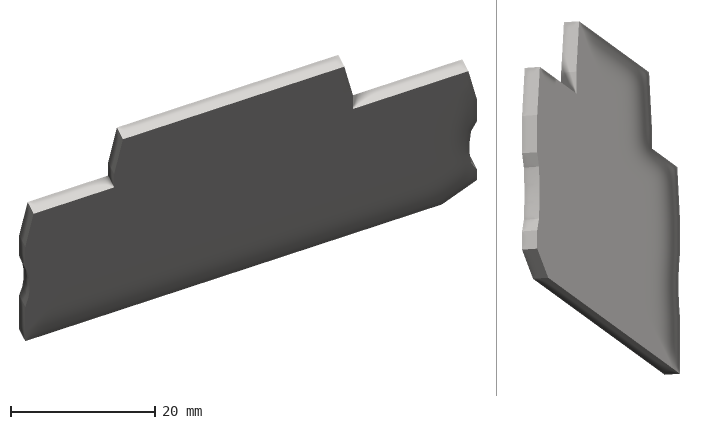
import cadquery as cq
import math

thickness = 2.2
length = 67.55
height = 39.65

taper_angle = math.radians(10)
shoulder_height = 29.1
shoulder_taper_start = 22.0
tab_taper_start = 32.2
shoulder_inset = (shoulder_height - shoulder_taper_start) * math.tan(taper_angle)
tab_inset = (height - tab_taper_start) * math.tan(taper_angle)

tab_front = 13.3
tab_width = 35.75
tab_back = tab_front + tab_width

front_groove_center = 12.55
front_groove_width = 9.1
front_groove_depth = 0.7
front_groove_bottom = front_groove_center - front_groove_width / 2
front_groove_top = front_groove_center + front_groove_width / 2

back_groove_center = 11.15
back_groove_width = 11.1
back_groove_floor_width = 7.4
back_groove_flank_depth = 0.85
back_groove_depth = 1.1
back_groove_bottom = back_groove_center - back_groove_width / 2
back_groove_top = back_groove_center + back_groove_width / 2
back_floor_bottom = back_groove_center - back_groove_floor_width / 2
back_floor_top = back_groove_center + back_groove_floor_width / 2
back_floor_y = length - back_groove_flank_depth

chamfer_length = 5.2
chamfer_angle = math.radians(30)
chamfer_height = chamfer_length * math.tan(chamfer_angle)


def draw_front_edge(outline):
    """Go up the front edge, from the lower corner to the foot of the tab."""
    return (
        outline.lineTo(0, front_groove_bottom)
        .threePointArc((front_groove_depth, front_groove_center), (0, front_groove_top))
        .lineTo(0, shoulder_taper_start)
        .lineTo(shoulder_inset, shoulder_height)
        .lineTo(tab_front, shoulder_height)
    )


def draw_tab(outline):
    """Go over the tapered tab, from its front foot to its back foot."""
    return (
        outline.lineTo(tab_front, tab_taper_start)
        .lineTo(tab_front + tab_inset, height)
        .lineTo(tab_back - tab_inset, height)
        .lineTo(tab_back, tab_taper_start)
        .lineTo(tab_back, shoulder_height)
    )


def draw_back_edge(outline):
    """Go down the back edge, from the shoulder to the end of the chamfer."""
    return (
        outline.lineTo(length - shoulder_inset, shoulder_height)
        .lineTo(length, shoulder_taper_start)
        .lineTo(length, back_groove_top)
        .lineTo(back_floor_y, back_floor_top)
        .threePointArc(
            (length - back_groove_depth, back_groove_center),
            (back_floor_y, back_floor_bottom),
        )
        .lineTo(length, back_groove_bottom)
        .lineTo(length, chamfer_height)
        .lineTo(length - chamfer_length, 0)
    )


outline = cq.Workplane("YZ").moveTo(0, 0)
outline = draw_front_edge(outline)
outline = draw_tab(outline)
outline = draw_back_edge(outline)

result = outline.close().extrude(thickness)